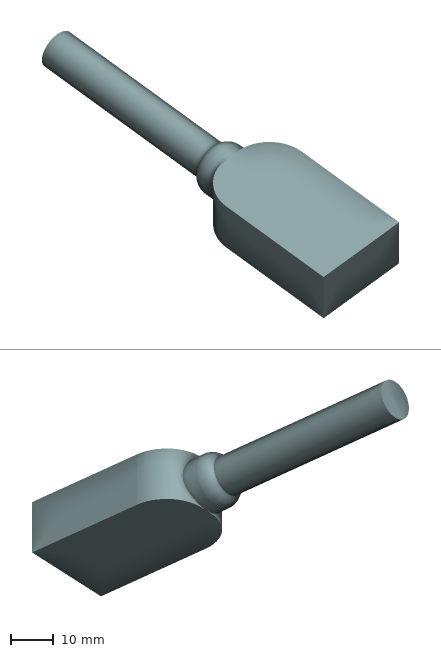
import cadquery as cq

total_length = 101.0
body_width = 25.0
body_height = 14.0

body_length = 43.0
body_corner_radius = 10.8

cable_diameter = 10.0
collar_start = 50.9
collar_diameter = body_height
collar_round = 4.0

body_start = total_length - body_length


def make_body():
    """Flat block with its two cable-side vertical edges rounded."""
    block = cq.Workplane("XY").box(body_length, body_width, body_height, centered=(False, True, True))
    return block.edges("|Z and <X").fillet(body_corner_radius).translate((body_start, 0, 0))


def make_cable():
    """Round cable ending inside the body."""
    cable_end = body_start + body_corner_radius
    return cq.Workplane("YZ").circle(cable_diameter / 2).extrude(cable_end)


def make_collar():
    """Round collar with a rounded front edge, running into the nose of the body."""
    collar_length = body_start + body_corner_radius - collar_start
    collar = cq.Workplane("YZ", origin=(collar_start, 0, 0)).circle(collar_diameter / 2).extrude(collar_length)
    return collar.faces("<X").edges().fillet(collar_round)


result = make_body().union(make_collar()).union(make_cable())